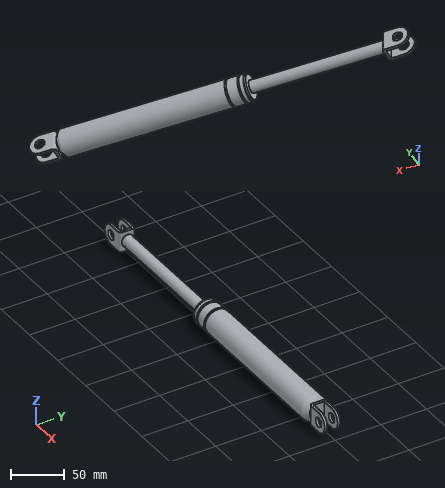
import cadquery as cq


eye_radius = 11.0
eye_hole_diameter = 10.0
fork_length = 27.0
fork_back_distance = fork_length - eye_radius
fork_width = 17.3
sheet_thickness = 3.0
bend_radius = 3.0

overall_length = 390.96
eye_distance = overall_length - 2 * eye_radius
tube_fork_back_x = eye_distance - fork_back_distance

rod_diameter = 13.0
rod_start_x = fork_back_distance - sheet_thickness

tube_radius = 14.1
tube_start_x = 154.6
collar_radius = 12.8
collar_length = 2.0
collar_end_x = tube_start_x + collar_length
groove_offsets = (7.3, 20.5)
groove_radius = 0.9
groove_depth = 0.7
shoulder_length = 5.3
shoulder_x = tube_fork_back_x - shoulder_length
shoulder_edge_radius = 1.5
neck_length = 0.5
neck_radius = 6.5
cone_end_radius = 8.0
cone_end_x = tube_fork_back_x - neck_length
neck_end_x = tube_fork_back_x + sheet_thickness


def make_fork(eye_x, back_direction):
    """U-shaped sheet fork whose web lies on the back_direction side of the eye."""
    back_x = eye_x + back_direction * fork_back_distance
    inner_x = back_x - back_direction * sheet_thickness
    tip_x = eye_x - back_direction * eye_radius

    block = (
        cq.Workplane("XZ")
        .moveTo(back_x, -eye_radius)
        .lineTo(eye_x, -eye_radius)
        .threePointArc((tip_x, 0), (eye_x, eye_radius))
        .lineTo(back_x, eye_radius)
        .close()
        .extrude(fork_width / 2, both=True)
    )
    back_corners = ">X" if back_direction > 0 else "<X"
    fork = block.edges(f"{back_corners} and |Z").fillet(bend_radius)

    gap = cq.Workplane("XY").box(fork_length, fork_width - 2 * sheet_thickness, 2 * eye_radius)
    gap = gap.translate((inner_x - back_direction * fork_length / 2, 0, 0))
    eye_hole = cq.Workplane("XZ").center(eye_x, 0).circle(eye_hole_diameter / 2)
    eye_hole = eye_hole.extrude(fork_width / 2, both=True)
    return fork.cut(gap).cut(eye_hole)


def make_rod_body():
    """Rod rooted in its fork web and ending on the face of the tube collar."""
    rod = cq.Workplane("YZ", origin=(rod_start_x, 0, 0)).circle(rod_diameter / 2)
    rod = rod.extrude(tube_start_x - rod_start_x)
    return make_fork(0, 1).union(rod)


def make_groove(x):
    """Ring with a round section that leaves a shallow rolled groove in the tube."""
    ring_center_radius = tube_radius + groove_radius - groove_depth
    section = cq.Workplane("XY").center(x, ring_center_radius).circle(groove_radius)
    return section.revolve(360, (0, -ring_center_radius, 0), (1, -ring_center_radius, 0))


def make_tube_body():
    """Stepped tube with a conical end, whose neck is rooted in the web of its fork."""
    profile = (
        cq.Workplane("XZ")
        .moveTo(tube_start_x, 0)
        .lineTo(tube_start_x, collar_radius)
        .lineTo(collar_end_x, collar_radius)
        .lineTo(collar_end_x, tube_radius)
        .lineTo(shoulder_x, tube_radius)
        .lineTo(cone_end_x, cone_end_radius)
        .lineTo(cone_end_x, neck_radius)
        .lineTo(neck_end_x, neck_radius)
        .lineTo(neck_end_x, 0)
        .close()
    )
    tube = profile.revolve(360, (0, 0, 0), (1, 0, 0))
    tube = tube.edges(cq.NearestToPointSelector((shoulder_x, 0, 0))).fillet(shoulder_edge_radius)
    for offset in groove_offsets:
        tube = tube.cut(make_groove(tube_start_x + offset))
    return tube.union(make_fork(eye_distance, -1))


rod_body = make_rod_body()
tube_body = make_tube_body()
result = cq.Compound.makeCompound([rod_body.val(), tube_body.val()])